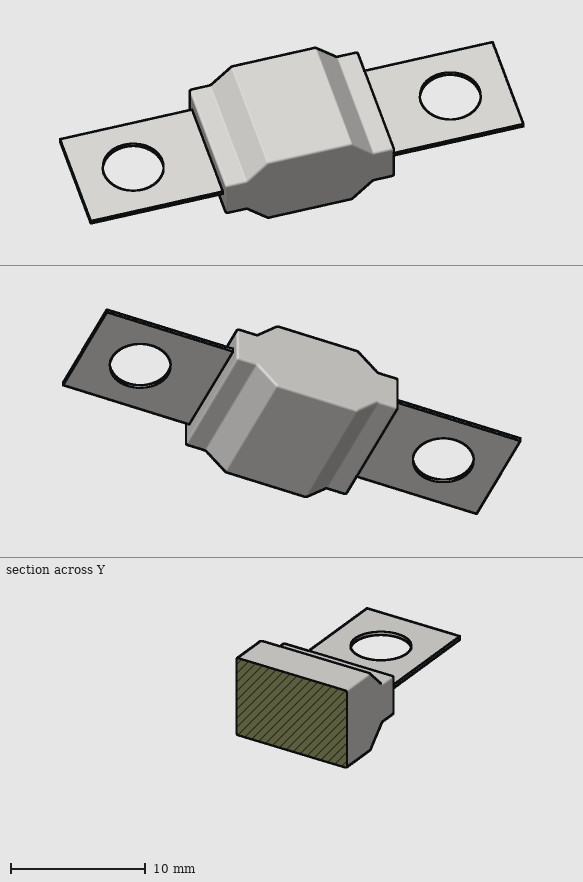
import cadquery as cq

blade_length = 33.4
blade_width = 8.2
blade_thickness = 0.3
hole_diameter = 4.5
hole_spacing = 24.5

housing_width = 9.8
housing_length = 13.03
housing_height = 6.5
crown_length = 6.5
end_block_height = 3.25
edge_radius = 0.2

slope_run = (housing_height - end_block_height) / 2


def make_housing():
    """Extrude the stepped side profile across the width and round every edge."""
    half_length = housing_length / 2
    half_crown = crown_length / 2
    half_height = housing_height / 2
    half_end_height = end_block_height / 2
    slope_foot = half_crown + slope_run

    upper_outline = [
        (half_length, half_end_height),
        (slope_foot, half_end_height),
        (half_crown, half_height),
        (-half_crown, half_height),
        (-slope_foot, half_end_height),
        (-half_length, half_end_height),
    ]
    lower_outline = [(-y, -z) for y, z in upper_outline]

    return (
        cq.Workplane("YZ")
        .polyline(upper_outline + lower_outline)
        .close()
        .extrude(housing_width / 2, both=True)
        .edges()
        .fillet(edge_radius)
    )


def make_blade():
    """Flat strip with a bolt hole near each end."""
    hole_centers = [(0, -hole_spacing / 2), (0, hole_spacing / 2)]
    return (
        cq.Workplane("XY")
        .box(blade_width, blade_length, blade_thickness)
        .faces(">Z")
        .workplane()
        .pushPoints(hole_centers)
        .hole(hole_diameter)
    )


result = make_housing().union(make_blade())